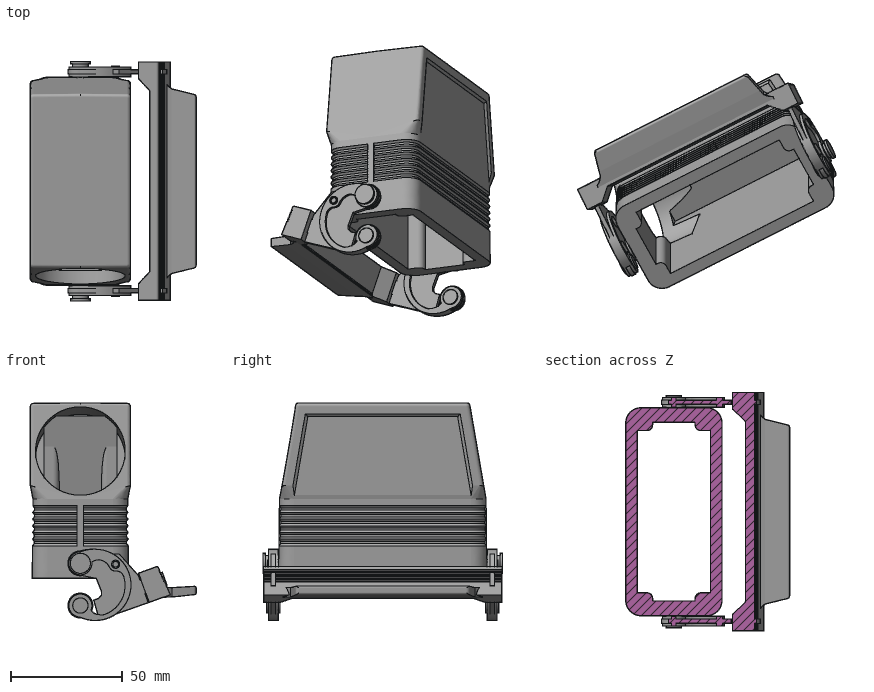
import cadquery as cq
import math

RIM_HALF_X = 21.6
RIM_HALF_Y = 46.6
RIM_HEIGHT = 3.0
BASE_TOP = 35.5
BASE_DRAFT = 0.3
BASE_CORNER_R = 7.0

GRIP_BOTTOM = 14.6
GRIP_TOP = 32.5
GROOVE_COUNT = 6
GROOVE_DEPTH = 0.8
GROOVE_FLAT = 1.0
GRIP_BAR_WIDTH = 3.0

BODY_HALF_X = 22.5
BODY_TOP = 78.6
BODY_SIDE_BOTTOM = 41.6
BODY_END_TOP_Y = 38.9
BODY_KINK = 0.2
BODY_EDGE_R = 1.5

PANEL_DEPTH = 0.9
PANEL_TOP = 73.6
PANEL_TOP_HALF_Y = 34.7
PANEL_BOTTOM = 34.4
PANEL_BEVEL = 1.2

BORE_R = 20.1
BORE_DEPTH = 19.5
BORE_Z = 57.0

CAVITY_HALF_X = 16.3
CAVITY_HALF_Y = 40.0
CAVITY_TOP = 72.6
END_WALL = 6.0
PILLAR_TOP = 59.0
PILLAR_INNER_X = 9.5
PILLAR_EDGE_R = 2.7

OUTER_HALF_Y = 53.7
PIVOT_Z = 6.8
PIVOT_HEAD_R = 4.5
PIVOT_HEAD_HEIGHT = 1.2
PIVOT_NECK_R = 3.5
ROLLER_Z = -12.1
ROLLER_RIVET_R = 3.4
ROLLER_RIVET_HALF = 3.0
PLATE_Y = 49.0
PLATE_THICKNESS = 1.9
ARM_THICKNESS = 4.5
EYE_R = 5.6
RIM_EYE_R = 5.2
ARC_X = 6.7
ARC_Z = -2.9
ARC_R = 16.0
SHOULDER_ANGLE = 60.0
HEEL_ANGLE = -55.0
ROLLER_ANGLE = -120.0
STUD_X = 15.8
STUD_Z = 6.3
STUD_R = 1.8
STUD_HOLE_R = 1.3
STUD_HEIGHT = 0.4

BAR_X = 26.0
BAR_Z = 2.4
BAR_TILT = 20.0
BAR_HALF_Y = 53.4
BAR_TOP_WIDTH = 9.2
BAR_BOTTOM_WIDTH = 10.1
BAR_HEIGHT = 14.0
BAR_EDGE_R = 0.9
NOTCH_DEPTH = 5.4
NOTCH_MOUTH_HALF_Y = 45.9
TONGUE_TOP = 3.2
TONGUE_HEIGHT = 6.4
TONGUE_REACH = 10.2
PLATE_GAP = 0.3
RIDGE_COUNT = 7
RIDGE_START = 1.7
RIDGE_PITCH = 0.9
RIDGE_DEPTH = 0.3

PIVOT_ROOT_Y = 45.1
PLATE_DROP = 1.1
PLATE_SHOULDER = (17.4, 11.0)
ROLLER_THROAT = (4.8, -14.2)
THROAT_ARC = ((6.0, -15.5), (7.7, -16.0))
MOUTH = [(5.9, -9.7), (8.0, -9.0), (9.5, -7.5), (9.5, -5.9), (7.1, 0.0), (0.9, 1.3)]
RIM_INNER_ARCS = [
    ((9.7, -16.3), (11.5, -15.9)),
    ((18.9, -8.6), (19.5, 0.2)),
    ((18.5, 2.4), (16.1, 3.3)),
    ((14.3, 3.7), (13.2, 4.7)),
    ((11.4, 7.1), (8.4, 8.4)),
    ((6.7, 8.1), (4.5, 6.9)),
]

TAB_ROOT_X = 35.4
TAB_FLARE_X = 38.0
TAB_FILLET_X = 39.3
TAB_NECK_X = 40.9
TAB_END_X = 51.9
TAB_ROOT_HALF_Y = 44.6
TAB_FILLET_HALF_Y = 42.6
TAB_NECK_HALF_Y = 41.3
TAB_END_HALF_Y = 38.7
TAB_CORNER_R = 1.5
TAB_EDGE_R = 0.9
TAB_SECTION = [
    (TAB_ROOT_X, -3.8), (TAB_NECK_X, -4.1), (TAB_END_X, -3.4),
    (TAB_END_X, -7.2), (43.1, -8.2), (TAB_ROOT_X, -8.6),
]

end_slope = (RIM_HALF_Y - BASE_DRAFT - BODY_END_TOP_Y) / (BODY_TOP - BASE_TOP)
end_angle = math.degrees(math.atan(end_slope))


def end_y(z):
    """Half length of the hood on its centre plane at height z."""
    return BODY_END_TOP_Y + end_slope * (BODY_TOP - z)


def rounded_loft(levels):
    """Ruled solid through rounded rectangles given as (z, half x, half y, corner radius)."""
    outlines = []
    for z, half_x, half_y, radius in levels:
        outline = cq.Sketch().rect(2 * half_x, 2 * half_y).vertices().fillet(radius)
        outlines.append(outline.moved(cq.Location(cq.Vector(0, 0, z))))
    return cq.Workplane("XY").placeSketch(*outlines).loft(ruled=True, combine=False)


def base_level(z, groove=0.0):
    """Outline of the drafted base at height z, set in further by the groove depth."""
    draft = BASE_DRAFT * max(0, z - RIM_HEIGHT) / (BASE_TOP - RIM_HEIGHT)
    inset = draft + groove
    return (z, RIM_HALF_X - inset, RIM_HALF_Y - inset, BASE_CORNER_R - inset)


def make_base():
    """Drafted base with its band of grooves, broken by a plain strip on each end."""
    pitch = (GRIP_TOP - GRIP_BOTTOM) / GROOVE_COUNT
    ramp = (pitch - GROOVE_FLAT) / 2
    levels = [base_level(0), base_level(RIM_HEIGHT)]
    for index in range(GROOVE_COUNT):
        z = GRIP_BOTTOM + index * pitch
        levels.append(base_level(z))
        levels.append(base_level(z + ramp, GROOVE_DEPTH))
        levels.append(base_level(z + ramp + GROOVE_FLAT, GROOVE_DEPTH))
    levels.append(base_level(GRIP_TOP))
    levels.append(base_level(BASE_TOP))
    lower_y = base_level(GRIP_BOTTOM)[2]
    upper_y = base_level(GRIP_TOP)[2]
    grip_bar = (
        cq.Workplane("YZ")
        .polyline([
            (-lower_y, GRIP_BOTTOM), (lower_y, GRIP_BOTTOM),
            (upper_y, GRIP_TOP), (-upper_y, GRIP_TOP),
        ])
        .close()
        .extrude(GRIP_BAR_WIDTH / 2, both=True)
    )
    return rounded_loft(levels).union(grip_bar)


def end_trapezoid(bottom, drop):
    """Y, Z outline of the upper part, lowered and shortened by the drop."""
    top = BODY_TOP - drop
    return [
        (-end_y(bottom) + drop, bottom),
        (end_y(bottom) - drop, bottom),
        (end_y(BODY_TOP) - drop, top),
        (-end_y(BODY_TOP) + drop, top),
    ]


def make_body():
    """Flared upper part; each half falls slightly from the centre plane."""
    half = (
        cq.Workplane("YZ")
        .polyline(end_trapezoid(BASE_TOP, 0))
        .close()
        .workplane(offset=BODY_HALF_X)
        .polyline(end_trapezoid(BODY_SIDE_BOTTOM, BODY_KINK))
        .close()
        .loft(ruled=True)
    )
    roof_ends = half.faces(">Z").edges("not <X")
    side_corners = half.faces(">X").edges("not |Y")
    half = half.newObject(roof_ends.vals() + side_corners.vals()).fillet(BODY_EDGE_R)
    flare_half_y = end_y(BODY_SIDE_BOTTOM) - BODY_KINK
    flare_top = (BODY_SIDE_BOTTOM, BODY_HALF_X, flare_half_y, BODY_EDGE_R)
    flare = rounded_loft([base_level(BASE_TOP), flare_top])
    return flare.union(half).union(half.mirror("YZ"))


def panel_outline(margin):
    """Y, Z outline of the side panel, set in from its rim by the margin."""
    top = PANEL_TOP - margin
    top_y = PANEL_TOP_HALF_Y - margin
    bottom_y = top_y + end_slope * (top - PANEL_BOTTOM)
    return [(-bottom_y, PANEL_BOTTOM), (bottom_y, PANEL_BOTTOM), (top_y, top), (-top_y, top)]


def make_panel_cut():
    """Shallow bevelled panels sunk into both long sides."""
    panel = (
        cq.Workplane("YZ", origin=(BODY_HALF_X - PANEL_DEPTH, 0, 0))
        .polyline(panel_outline(PANEL_BEVEL))
        .close()
        .workplane(offset=PANEL_DEPTH)
        .polyline(panel_outline(0))
        .close()
        .loft(ruled=True)
    )
    return panel.union(panel.mirror("YZ"))


def make_bore():
    """Cable entry, square to the sloping end at -Y."""
    inward = (0, math.cos(math.radians(end_angle)), -math.sin(math.radians(end_angle)))
    face = cq.Plane(origin=(0, -end_y(BORE_Z), BORE_Z), xDir=(1, 0, 0), normal=inward)
    return (
        cq.Workplane(face)
        .workplane(offset=-BORE_DEPTH)
        .circle(BORE_R)
        .extrude(2 * BORE_DEPTH)
    )


def make_cavity():
    """Hollow open at the bottom, with a round-edged pillar left in each corner."""
    top_y = end_y(CAVITY_TOP) - END_WALL
    knee_z = CAVITY_TOP - (CAVITY_HALF_Y - top_y) / end_slope
    cavity = (
        cq.Workplane("YZ")
        .polyline([
            (-CAVITY_HALF_Y, 0), (CAVITY_HALF_Y, 0), (CAVITY_HALF_Y, knee_z),
            (top_y, CAVITY_TOP), (-top_y, CAVITY_TOP), (-CAVITY_HALF_Y, knee_z),
        ])
        .close()
        .extrude(CAVITY_HALF_X, both=True)
    )
    pillar_y = end_y(PILLAR_TOP) - END_WALL
    for side_x in (-1, 1):
        for side_y in (-1, 1):
            pillar = (
                cq.Workplane("XY")
                .moveTo(side_x * PILLAR_INNER_X, side_y * pillar_y)
                .lineTo(side_x * BODY_HALF_X, side_y * pillar_y)
                .lineTo(side_x * BODY_HALF_X, side_y * RIM_HALF_Y)
                .lineTo(side_x * PILLAR_INNER_X, side_y * RIM_HALF_Y)
                .close()
                .extrude(PILLAR_TOP)
            )
            inner_edge = cq.selectors.NearestToPointSelector(
                (side_x * PILLAR_INNER_X, side_y * pillar_y, PILLAR_TOP / 2)
            )
            cavity = cavity.cut(pillar.edges(inner_edge).fillet(PILLAR_EDGE_R))
    return cavity


def bar_point(along, down):
    """X, Z of a point in the tilted frame of the cross bar."""
    tilt = math.radians(BAR_TILT)
    x = BAR_X + along * math.cos(tilt) + down * math.sin(tilt)
    z = BAR_Z + along * math.sin(tilt) - down * math.cos(tilt)
    return (x, z)


def arc_point(angle):
    """X, Z of a point on the outer circle of the hook."""
    turn = math.radians(angle)
    return (ARC_X + ARC_R * math.cos(turn), ARC_Z + ARC_R * math.sin(turn))


def disc(x, z, radius, y_start, y_end):
    """Round disc with its axis along Y."""
    return cq.Workplane("XZ", origin=(x, y_start, z)).circle(radius).extrude(y_start - y_end)


def outer_hook(eye_radius):
    """Path from the pivot centre over its eye and along the top of the hook."""
    return (
        cq.Workplane("XZ")
        .moveTo(0, PIVOT_Z)
        .lineTo(0, PIVOT_Z + eye_radius)
        .threePointArc(arc_point(90), arc_point(SHOULDER_ANGLE))
    )


def under_hook_to_roller(path):
    """Path continued round the underside of the hook to the roller centre."""
    return path.threePointArc(arc_point(-90), arc_point(ROLLER_ANGLE)).lineTo(0, ROLLER_Z)


def make_arm():
    """Hook at the -Y end: a thin plate with a thicker C-shaped rim along its round edge."""
    plate_outline = outer_hook(EYE_R).lineTo(*PLATE_SHOULDER)
    plate_outline = plate_outline.lineTo(*bar_point(-PLATE_GAP, PLATE_DROP))
    plate_outline = plate_outline.lineTo(*bar_point(-PLATE_GAP, BAR_HEIGHT))
    plate_outline = plate_outline.lineTo(*arc_point(HEEL_ANGLE))
    plate_outline = under_hook_to_roller(plate_outline).lineTo(*ROLLER_THROAT)
    plate_outline = plate_outline.threePointArc(*THROAT_ARC).polyline(MOUTH, includeCurrent=True)
    plate = plate_outline.close().extrude(PLATE_THICKNESS / 2, both=True)

    rim_outline = outer_hook(RIM_EYE_R).threePointArc(arc_point(0), arc_point(HEEL_ANGLE))
    rim_outline = under_hook_to_roller(rim_outline).lineTo(*ROLLER_THROAT)
    rim_outline = rim_outline.threePointArc(*THROAT_ARC)
    for middle, end in RIM_INNER_ARCS:
        rim_outline = rim_outline.threePointArc(middle, end)
    rim = rim_outline.close().extrude(ARM_THICKNESS / 2, both=True)

    arm = plate.union(rim)
    half_plate = PLATE_THICKNESS / 2
    half_arm = ARM_THICKNESS / 2
    for eye_z in (PIVOT_Z, ROLLER_Z):
        arm = arm.union(disc(0, eye_z, EYE_R, -half_plate, half_plate))
        arm = arm.union(disc(0, eye_z, RIM_EYE_R, -half_arm, half_arm))
    arm = arm.union(disc(0, ROLLER_Z, ROLLER_RIVET_R, -ROLLER_RIVET_HALF, ROLLER_RIVET_HALF))
    stud_face = -half_arm - STUD_HEIGHT
    arm = arm.union(disc(STUD_X, STUD_Z, STUD_R, stud_face, 0))
    arm = arm.cut(disc(STUD_X, STUD_Z, STUD_HOLE_R, stud_face, -half_arm))
    arm = arm.translate((0, -PLATE_Y, 0))

    head_back = PIVOT_HEAD_HEIGHT - OUTER_HALF_Y
    pivot = disc(0, PIVOT_Z, PIVOT_NECK_R, -OUTER_HALF_Y, -PIVOT_ROOT_Y)
    head = disc(0, PIVOT_Z, PIVOT_HEAD_R, -OUTER_HALF_Y, head_back)
    return arm.union(pivot).union(head)


def make_cross_bar():
    """Bar joining both arms: ridged outside, notched inside to clear the hood."""
    side_slope = (BAR_BOTTOM_WIDTH - BAR_TOP_WIDTH) / BAR_HEIGHT
    corners = [bar_point(0, 0), bar_point(BAR_TOP_WIDTH, 0)]
    for index in range(RIDGE_COUNT):
        crest = RIDGE_START + index * RIDGE_PITCH
        valley = crest + RIDGE_PITCH / 2
        corners.append(bar_point(BAR_TOP_WIDTH + side_slope * crest, crest))
        corners.append(bar_point(BAR_TOP_WIDTH + side_slope * valley - RIDGE_DEPTH, valley))
    last_crest = RIDGE_START + RIDGE_COUNT * RIDGE_PITCH
    corners.append(bar_point(BAR_TOP_WIDTH + side_slope * last_crest, last_crest))
    corners.append(bar_point(BAR_BOTTOM_WIDTH, BAR_HEIGHT))
    corners.append(bar_point(0, BAR_HEIGHT))
    bar = cq.Workplane("XZ").polyline(corners).close().extrude(BAR_HALF_Y, both=True)
    bar = bar.edges("|Y and >Z").fillet(BAR_EDGE_R)

    tilt = math.radians(BAR_TILT)
    tilted = cq.Plane(
        origin=(BAR_X, 0, BAR_Z),
        xDir=(math.cos(tilt), 0, math.sin(tilt)),
        normal=(-math.sin(tilt), 0, math.cos(tilt)),
    )
    notch_floor_y = NOTCH_MOUTH_HALF_Y - NOTCH_DEPTH
    notch = (
        cq.Workplane(tilted)
        .polyline([
            (0, -NOTCH_MOUTH_HALF_Y), (NOTCH_DEPTH, -notch_floor_y),
            (NOTCH_DEPTH, notch_floor_y), (0, NOTCH_MOUTH_HALF_Y),
        ])
        .close()
        .extrude(2 * BAR_HEIGHT, both=True)
    )
    tongue_middle = (TONGUE_REACH - PLATE_GAP) / 2
    tongues = (
        cq.Workplane(tilted)
        .workplane(offset=-TONGUE_TOP)
        .pushPoints([(tongue_middle, -PLATE_Y), (tongue_middle, PLATE_Y)])
        .rect(TONGUE_REACH + PLATE_GAP, PLATE_THICKNESS)
        .extrude(-TONGUE_HEIGHT)
    )
    return bar.cut(notch).union(tongues)


def make_tab():
    """Thumb tab on the outer side of the cross bar, narrowing towards its edge."""
    section = (
        cq.Workplane("XZ")
        .polyline(TAB_SECTION)
        .close()
        .extrude(BAR_HALF_Y, both=True)
        .edges("|Y and >X")
        .fillet(TAB_EDGE_R)
    )
    plan = (
        cq.Workplane("XY", origin=(0, 0, -BAR_HALF_Y))
        .moveTo(TAB_ROOT_X, -TAB_ROOT_HALF_Y)
        .lineTo(TAB_FLARE_X, -TAB_ROOT_HALF_Y)
        .threePointArc((TAB_FILLET_X, -TAB_FILLET_HALF_Y), (TAB_NECK_X, -TAB_NECK_HALF_Y))
        .lineTo(TAB_END_X, -TAB_END_HALF_Y)
        .lineTo(TAB_END_X, TAB_END_HALF_Y)
        .lineTo(TAB_NECK_X, TAB_NECK_HALF_Y)
        .threePointArc((TAB_FILLET_X, TAB_FILLET_HALF_Y), (TAB_FLARE_X, TAB_ROOT_HALF_Y))
        .lineTo(TAB_ROOT_X, TAB_ROOT_HALF_Y)
        .close()
        .extrude(2 * BAR_HALF_Y)
        .edges("|Z and >X")
        .fillet(TAB_CORNER_R)
    )
    return section.intersect(plan)


hood = make_base().union(make_body())
hood = hood.cut(make_panel_cut()).cut(make_cavity()).cut(make_bore())

arm = make_arm()
latch = make_cross_bar().union(make_tab()).union(arm).union(arm.mirror("XZ"))

result = hood.union(latch)